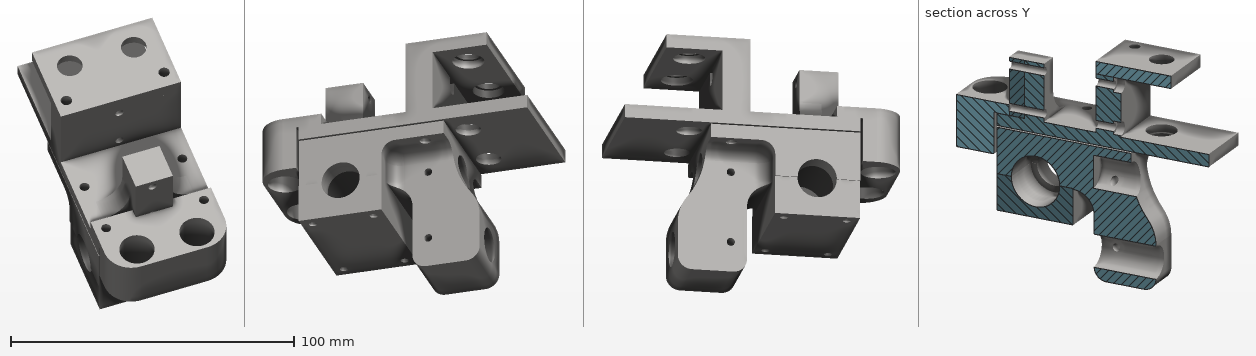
import cadquery as cq
import math


WIDTH = 45.1
LENGTH = 100.5
PLATE = 4.9
SHOULDER_LEVEL = 22.1

BASE_LENGTH = 84.5
COLUMN_FRONT_X = 35.0
COLUMN_BACK_X = 45.0
POST_FRONT_X = 65.5
POST_BACK_X = 73.5
POST_WIDTH = 14.0
POST_Y = 0.1
GUSSET_RADIUS = 9.9

TOP_PLATE_FRONT_X = 15.0

ROD_X = 25.0
ROD_SPACING = 24.0
ROD_HOLE = 9.0
ROD_SEAT = 11.4
ROD_SEAT_DEPTH = 2.9

SCREW_SPACING = 36.7
COLUMN_SCREW_X = 39.0
COLUMN_SCREW_HOLE = 4.0
CLAMP_SCREW_PITCH = 22.5
CLAMP_SCREW_MID_X = 69.2
CLAMP_SCREW_HOLE = 3.5
CAP_SCREW_HOLE = 2.9

CROSS_SCREW_Y = -0.5
CROSS_SCREW_LEVELS = (3.0, 19.1)
CROSS_SCREW_HOLE = 3.0
CROSS_SCREW_HEAD = 5.0
CROSS_SCREW_HEAD_DEPTH = 3.0

BLOCK_BACK_X = 79.5

BRACKET_FRONT_X = 76.2
BRACKET_TOP = 4.0
BRACKET_BOTTOM = -16.0
BRACKET_GAP = 1.0
BRACKET_CORNER_RADIUS = 10.0
BRACKET_HOLE = 12.5
BRACKET_HOLE_X = 93.0
BRACKET_HOLE_SPACING = 22.5

HOLDER_GAP = 0.5
HOLDER_WIDTH = 44.9
HOLDER_Y = -0.1
CAP_WIDTH = 44.7
CAP_Y = 0.2
HOLDER_FRONT_X = 31.0
CLAMP_FRONT_X = 54.0
FLANGE = 4.9
SPLIT_LEVEL = -23.3
CAP_BOTTOM = -37.2
BAR_X = 69.0
BAR_HOLE = 14.1
BEARING_HOLE = 19.1
BEARING_LENGTH = 29.9

GRIP_WIDTH = 23.4
GRIP_FRONT_X = 21.0
GRIP_BACK_X = 45.8
SWEEP_TOP = -10.6
GRIP_BACK_TOP = -23.6
GRIP_BOTTOM = -56.4
UPPER_SWEEP_RADIUS = 30.0
LOWER_SWEEP_RADIUS = 15.0
GRIP_FOOT_RADIUS = 5.0
POCKET_RADIUS = 5.0
GRIP_BORE = 12.5
GRIP_BORE_LEVELS = (-15.3, -45.3)
PIN_HOLE = 2.9
PIN_X = 40.0
PIN_LEVELS = (-19.3, -45.3)

QUARTER_SAG = 1 - math.sqrt(0.5)
HOLDER_TOP = -PLATE - HOLDER_GAP
FLANGE_BOTTOM = HOLDER_TOP - FLANGE
COLUMN_SCREWS = [(COLUMN_SCREW_X, side * SCREW_SPACING / 2) for side in (-1, 1)]
CLAMP_SCREWS = [
    (CLAMP_SCREW_MID_X + end * CLAMP_SCREW_PITCH / 2, side * SCREW_SPACING / 2)
    for end in (-1, 1)
    for side in (-1, 1)
]
RODS = [(ROD_X, side * ROD_SPACING / 2) for side in (-1, 1)]


def block(x_range, y_range, z_range):
    """Box between two limits on each axis."""
    (x0, x1), (y0, y1), (z0, z1) = x_range, y_range, z_range
    return cq.Workplane("XY").box(x1 - x0, y1 - y0, z1 - z0, centered=False).translate((x0, y0, z0))


def centred_block(x_range, width, z_range):
    """Box that is symmetric about Y = 0."""
    return block(x_range, (-width / 2, width / 2), z_range)


def vertical_holes(points, diameter, z_range):
    """Cylinders along Z at the given XY points."""
    z0, z1 = z_range
    return cq.Workplane("XY").workplane(offset=z0).pushPoints(points).circle(diameter / 2).extrude(z1 - z0)


def hole_along_x(y, z, diameter, x_range):
    """Cylinder along X."""
    x0, x1 = x_range
    return cq.Workplane("YZ").workplane(offset=x0).center(y, z).circle(diameter / 2).extrude(x1 - x0)


def hole_along_y(x, z, diameter, length=2 * WIDTH):
    """Cylinder along Y, symmetric about Y = 0, by default longer than any body is wide."""
    return cq.Workplane("XZ").center(x, z).circle(diameter / 2).extrude(length / 2, both=True)


def make_bar_hole():
    """Hole for the cross bar, with a wider middle stretch for its bearing."""
    bearing = hole_along_y(BAR_X, SPLIT_LEVEL, BEARING_HOLE, BEARING_LENGTH)
    return hole_along_y(BAR_X, SPLIT_LEVEL, BAR_HOLE).union(bearing)


def make_top_plate():
    z_range = (SHOULDER_LEVEL, SHOULDER_LEVEL + PLATE)
    plate = centred_block((TOP_PLATE_FRONT_X, COLUMN_BACK_X), WIDTH, z_range)
    plate = plate.cut(vertical_holes(RODS, ROD_HOLE, z_range))
    plate = plate.cut(vertical_holes(RODS, ROD_SEAT, (SHOULDER_LEVEL, SHOULDER_LEVEL + ROD_SEAT_DEPTH)))
    return plate.cut(vertical_holes(COLUMN_SCREWS, COLUMN_SCREW_HOLE, z_range))


def make_post():
    """Post with a quarter-round gusset at the foot of each side."""
    half = POST_WIDTH / 2
    foot = half + GUSSET_RADIUS
    sag = GUSSET_RADIUS * QUARTER_SAG
    return (
        cq.Workplane("YZ", origin=(POST_FRONT_X, POST_Y, 0))
        .moveTo(-foot, 0)
        .threePointArc((-half - sag, sag), (-half, GUSSET_RADIUS))
        .lineTo(-half, SHOULDER_LEVEL)
        .lineTo(half, SHOULDER_LEVEL)
        .lineTo(half, GUSSET_RADIUS)
        .threePointArc((half + sag, sag), (foot, 0))
        .close()
        .extrude(POST_BACK_X - POST_FRONT_X)
    )


def make_base():
    base = centred_block((0, BASE_LENGTH), WIDTH, (-PLATE, 0))
    base = base.union(centred_block((COLUMN_FRONT_X, COLUMN_BACK_X), WIDTH, (0, SHOULDER_LEVEL)))
    base = base.union(make_post())
    base = base.cut(vertical_holes(RODS, ROD_HOLE, (-PLATE, 0)))
    base = base.cut(vertical_holes(RODS, ROD_SEAT, (-ROD_SEAT_DEPTH, 0)))
    base = base.cut(vertical_holes(COLUMN_SCREWS, COLUMN_SCREW_HOLE, (-PLATE, SHOULDER_LEVEL)))
    base = base.cut(vertical_holes(CLAMP_SCREWS, CLAMP_SCREW_HOLE, (-PLATE, 0)))
    head_x = (COLUMN_FRONT_X, COLUMN_FRONT_X + CROSS_SCREW_HEAD_DEPTH)
    for level in CROSS_SCREW_LEVELS:
        base = base.cut(hole_along_x(CROSS_SCREW_Y, level, CROSS_SCREW_HOLE, (COLUMN_FRONT_X, POST_BACK_X)))
        base = base.cut(hole_along_x(CROSS_SCREW_Y, level, CROSS_SCREW_HEAD, head_x))
    slot_y = (CROSS_SCREW_Y - CROSS_SCREW_HEAD / 2, CROSS_SCREW_Y + CROSS_SCREW_HEAD / 2)
    return base.cut(block(head_x, slot_y, (max(CROSS_SCREW_LEVELS), SHOULDER_LEVEL)))


def make_stop_block():
    x_range = (POST_BACK_X, BLOCK_BACK_X)
    stop = centred_block(x_range, POST_WIDTH, (0, SHOULDER_LEVEL)).translate((0, POST_Y, 0))
    for level in CROSS_SCREW_LEVELS:
        stop = stop.cut(hole_along_x(CROSS_SCREW_Y, level, CROSS_SCREW_HOLE, x_range))
    return stop


def make_end_bracket():
    drop_x = BASE_LENGTH + BRACKET_GAP
    bracket = centred_block((drop_x, LENGTH), WIDTH, (BRACKET_BOTTOM, BRACKET_TOP))
    bracket = bracket.edges("|Z and >X").fillet(BRACKET_CORNER_RADIUS)
    bracket = bracket.union(centred_block((BRACKET_FRONT_X, drop_x), WIDTH, (0, BRACKET_TOP)))
    notch = centred_block((BRACKET_FRONT_X, BLOCK_BACK_X), POST_WIDTH, (0, BRACKET_TOP))
    bracket = bracket.cut(notch.translate((0, POST_Y, 0)))
    holes = [(BRACKET_HOLE_X, side * BRACKET_HOLE_SPACING / 2) for side in (-1, 1)]
    bracket = bracket.cut(vertical_holes(holes, BRACKET_HOLE, (BRACKET_BOTTOM, BRACKET_TOP)))
    return bracket.cut(vertical_holes(CLAMP_SCREWS, CLAMP_SCREW_HOLE, (0, BRACKET_TOP)))


def make_holder_outline():
    """Side outline of the holder, extruded to its full width."""
    radii = UPPER_SWEEP_RADIUS + LOWER_SWEEP_RADIUS
    turn = math.acos(1 - (HOLDER_FRONT_X - GRIP_FRONT_X) / radii)

    def upper_sweep(angle):
        x = HOLDER_FRONT_X - UPPER_SWEEP_RADIUS * (1 - math.cos(angle))
        return x, SWEEP_TOP - UPPER_SWEEP_RADIUS * math.sin(angle)

    def lower_sweep(angle):
        x = GRIP_FRONT_X + LOWER_SWEEP_RADIUS * (1 - math.cos(angle))
        return x, SWEEP_TOP - radii * math.sin(turn) + LOWER_SWEEP_RADIUS * math.sin(angle)

    back_radius = CLAMP_FRONT_X - GRIP_BACK_X
    sag = back_radius * QUARTER_SAG
    outline = (
        cq.Workplane("XZ", origin=(0, HOLDER_Y, 0))
        .moveTo(BASE_LENGTH, HOLDER_TOP)
        .lineTo(HOLDER_FRONT_X, HOLDER_TOP)
        .lineTo(HOLDER_FRONT_X, SWEEP_TOP)
        .threePointArc(upper_sweep(turn / 2), upper_sweep(turn))
        .threePointArc(lower_sweep(turn / 2), lower_sweep(0))
        .lineTo(GRIP_FRONT_X, GRIP_BOTTOM)
        .lineTo(GRIP_BACK_X, GRIP_BOTTOM)
        .lineTo(GRIP_BACK_X, GRIP_BACK_TOP - back_radius)
        .threePointArc((GRIP_BACK_X + sag, GRIP_BACK_TOP - sag), (CLAMP_FRONT_X, GRIP_BACK_TOP))
        .lineTo(CLAMP_FRONT_X, SPLIT_LEVEL)
        .lineTo(BASE_LENGTH, SPLIT_LEVEL)
        .close()
        .extrude(HOLDER_WIDTH / 2, both=True)
    )
    return outline.edges("|Y and <Z").fillet(GRIP_FOOT_RADIUS)


def make_side_pocket(side):
    """Space beside the grip, with its three inner edges rounded."""
    inner, outer = GRIP_WIDTH / 2, WIDTH
    pocket = block((0, CLAMP_FRONT_X), (inner, outer), (2 * GRIP_BOTTOM, FLANGE_BOTTOM))
    inner_edges = pocket.edges(">X and <Y").add(pocket.edges(">X and >Z")).add(pocket.edges("<Y and >Z"))
    pocket = inner_edges.fillet(POCKET_RADIUS)
    return pocket if side > 0 else pocket.mirror("XZ")


def make_holder():
    holder = make_holder_outline()
    for side in (-1, 1):
        holder = holder.cut(make_side_pocket(side))
    holder = holder.cut(make_bar_hole())
    for level in GRIP_BORE_LEVELS:
        holder = holder.cut(hole_along_x(0, level, GRIP_BORE, (0, GRIP_BACK_X)))
    for level in PIN_LEVELS:
        holder = holder.cut(hole_along_y(PIN_X, level, PIN_HOLE))
    column_screw_z = (FLANGE_BOTTOM - POCKET_RADIUS, HOLDER_TOP)
    holder = holder.cut(vertical_holes(COLUMN_SCREWS, COLUMN_SCREW_HOLE, column_screw_z))
    return holder.cut(vertical_holes(CLAMP_SCREWS, CLAMP_SCREW_HOLE, (SPLIT_LEVEL, HOLDER_TOP)))


def make_cap():
    z_range = (CAP_BOTTOM, SPLIT_LEVEL)
    cap = centred_block((CLAMP_FRONT_X, BASE_LENGTH), CAP_WIDTH, z_range)
    cap = cap.cut(make_bar_hole())
    cap = cap.cut(vertical_holes(CLAMP_SCREWS, CAP_SCREW_HOLE, z_range))
    return cap.translate((0, CAP_Y, 0))


top_plate = make_top_plate()
base = make_base()
stop_block = make_stop_block()
end_bracket = make_end_bracket()
holder = make_holder()
cap = make_cap()

bodies = [top_plate, base, stop_block, end_bracket, holder, cap]
result = cq.Compound.makeCompound([body.solids().val() for body in bodies])